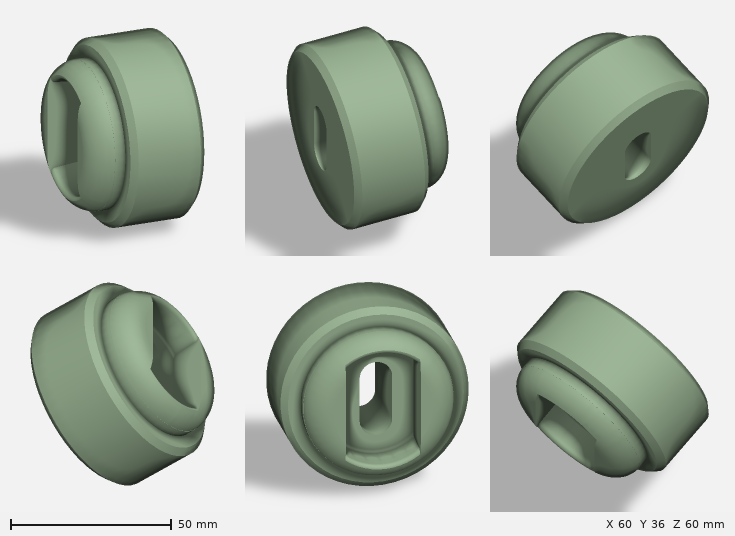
import cadquery as cq
import math

body_radius = 30.0
body_length = 25.0
body_chamfer = 2.0

overall_length = 36.0
boss_height = overall_length - body_length
boss_radius = 24.0
boss_straight = 3.4
dome_radius = 8.1
dome_flat_radius = 15.85

recess_width = 23.8
recess_foot_radius = 18.0
recess_mouth_radius = 18.6
lip_height = 9.9
lip_round = 1.4
floor_fillet = 1.0

slot_width = 10.4
slot_length = 24.4

DIAGONAL = math.sqrt(0.5)


def revolve_about_y(profile):
    """Turn a closed profile in the XY plane (X = radius) around the Y axis."""
    return profile.close().revolve(360, (0, 0, 0), (0, 1, 0))


def make_body():
    disc = cq.Workplane("XZ").circle(body_radius).extrude(-body_length)
    return disc.faces("<Y or >Y").chamfer(body_chamfer)


def make_boss():
    arc_center_height = boss_height - dome_radius
    start_angle = math.asin((boss_straight - arc_center_height) / dome_radius)
    middle_angle = (start_angle + math.pi / 2) / 2

    def dome_point(angle):
        radius = dome_flat_radius + dome_radius * math.cos(angle)
        height = arc_center_height + dome_radius * math.sin(angle)
        return radius, -height

    profile = (
        cq.Workplane("XY")
        .lineTo(boss_radius, 0)
        .lineTo(boss_radius, -boss_straight)
        .lineTo(*dome_point(start_angle))
        .threePointArc(dome_point(middle_angle), (dome_flat_radius, -boss_height))
        .lineTo(0, -boss_height)
    )
    return revolve_about_y(profile)


def make_recess():
    lip_radius = recess_mouth_radius + lip_round
    floor_radius = recess_foot_radius - floor_fillet
    floor_middle = (
        floor_radius + floor_fillet * DIAGONAL,
        -floor_fillet * (1 - DIAGONAL),
    )
    lip_middle = (
        lip_radius - lip_round * DIAGONAL,
        -lip_height + lip_round * (1 - DIAGONAL),
    )
    profile = (
        cq.Workplane("XY")
        .lineTo(floor_radius, 0)
        .threePointArc(floor_middle, (recess_foot_radius, -floor_fillet))
        .lineTo(recess_mouth_radius, lip_round - lip_height)
        .threePointArc(lip_middle, (lip_radius, -lip_height))
        .lineTo(lip_radius, -boss_height)
        .lineTo(0, -boss_height)
    )
    side_limits = cq.Workplane("XY").box(recess_width, 2 * overall_length, 2 * body_radius)
    return revolve_about_y(profile).intersect(side_limits)


def make_slot():
    slot = cq.Workplane("XZ").slot2D(slot_length, slot_width, 90)
    return slot.extrude(-body_length)


result = make_body().union(make_boss()).cut(make_recess()).cut(make_slot())